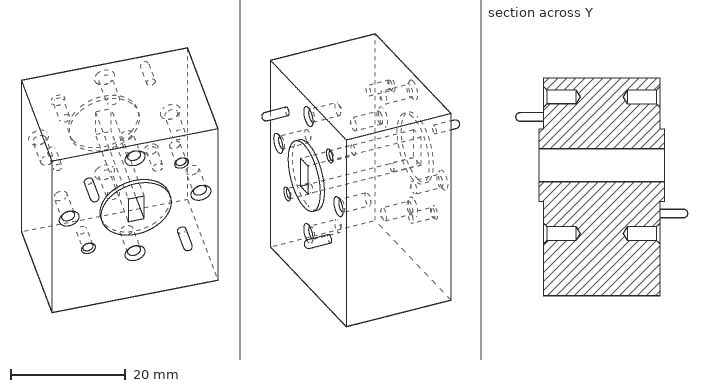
import cadquery as cq
import math

block_length = 20.33
block_width = 30.0
block_height = 38.0

overall_length = 30.0
axis_height = 3.75
boss_diameter = 12.7
boss_height = 0.8
guide_width = 2.85
guide_height = 5.7
bolt_circle_radius = 11.9
screw_angles = (0, 90, 180, 270)
dowel_pin_angles = (135, 315)
dowel_hole_angles = (45, 225)

screw_diameter = 2.35
screw_countersink_diameter = 3.6
screw_countersink_depth = 0.65
screw_depth = 5.7
drill_point_angle = 118.0

pin_diameter = 1.55
pin_height = (overall_length - block_length) / 2
dowel_hole_diameter = 1.85
dowel_countersink_diameter = 2.5
dowel_countersink_depth = 0.35
dowel_hole_depth = 4.55


def flange_point(angle):
    """Point on the bolt circle, in the (across, up) axes of a flange face."""
    a = math.radians(angle)
    return bolt_circle_radius * math.cos(a), bolt_circle_radius * math.sin(a)


def turned(profile, angles):
    """Revolve a (radius, height) profile and place a copy at each angle of the bolt circle."""
    body = profile.close().revolve(360, (0, 0, 0), (0, 1, 0)).rotate((0, 0, 0), (1, 0, 0), 90)
    copies = cq.Workplane("XY")
    for angle in angles:
        across, up = flange_point(angle)
        copies = copies.add(body.translate((across, up, 0)))
    return copies


def countersunk_profile(diameter, rim_diameter, rim_depth, depth):
    """Half section of a countersunk hole from its mouth to the foot of its wall."""
    return (
        cq.Workplane("XY")
        .lineTo(rim_diameter / 2, 0)
        .lineTo(diameter / 2, -rim_depth)
        .lineTo(diameter / 2, -depth)
    )


def screw_holes():
    point_depth = screw_diameter / 2 / math.tan(math.radians(drill_point_angle / 2))
    profile = countersunk_profile(
        screw_diameter, screw_countersink_diameter, screw_countersink_depth, screw_depth
    ).lineTo(0, -screw_depth - point_depth)
    return turned(profile, screw_angles)


def dowel_holes():
    profile = countersunk_profile(
        dowel_hole_diameter, dowel_countersink_diameter, dowel_countersink_depth, dowel_hole_depth
    ).lineTo(0, -dowel_hole_depth)
    return turned(profile, dowel_hole_angles)


def dowel_pins():
    radius = pin_diameter / 2
    shoulder = pin_height - radius
    dome_mid = radius * math.sqrt(0.5)
    profile = (
        cq.Workplane("XY")
        .lineTo(radius, 0)
        .lineTo(radius, shoulder)
        .threePointArc((dome_mid, shoulder + dome_mid), (0, pin_height))
    )
    return turned(profile, dowel_pin_angles)


def boss():
    return cq.Workplane("XY").circle(boss_diameter / 2).extrude(boss_height)


def on_end(feature, side):
    """Move a feature to the block's -X (side = -1) or +X (side = 1) end, facing outwards."""
    end_plane = cq.Plane(
        origin=(side * block_length / 2, 0, axis_height), xDir=(0, side, 0), normal=(side, 0, 0)
    )
    return [shape.moved(cq.Location(end_plane)) for shape in feature.vals()]


result = cq.Workplane("XY").box(block_length, block_width, block_height)

for side in (-1, 1):
    for added in (boss(), dowel_pins()):
        for shape in on_end(added, side):
            result = result.union(cq.Workplane(shape))
    for removed in (screw_holes(), dowel_holes()):
        for shape in on_end(removed, side):
            result = result.cut(cq.Workplane(shape))

guide = cq.Workplane("XY").box(overall_length, guide_width, guide_height)
result = result.cut(guide.translate((0, 0, axis_height)))